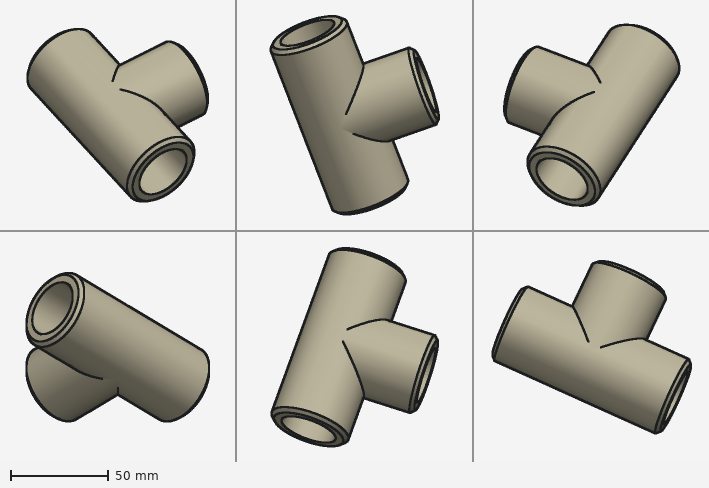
import cadquery as cq

run_length = 95.5
outer_diameter = 42.1
bore_diameter = 29.5
end_chamfer = 2.1
branch_reach = run_length / 2


def cylinder(plane, start, length, diameter):
    """Cylinder along the normal of the named plane, starting at the given offset."""
    return cq.Workplane(plane).workplane(offset=start).circle(diameter / 2).extrude(length)


run = cylinder("YZ", -run_length / 2, run_length, outer_diameter).faces("<X or >X").chamfer(end_chamfer)
branch = cylinder("ZX", 0, branch_reach, outer_diameter).faces(">Y").chamfer(end_chamfer)

run_bore = cylinder("YZ", -run_length / 2, run_length, bore_diameter)
branch_bore = cylinder("ZX", 0, branch_reach, bore_diameter)

result = run.union(branch).cut(run_bore).cut(branch_bore)